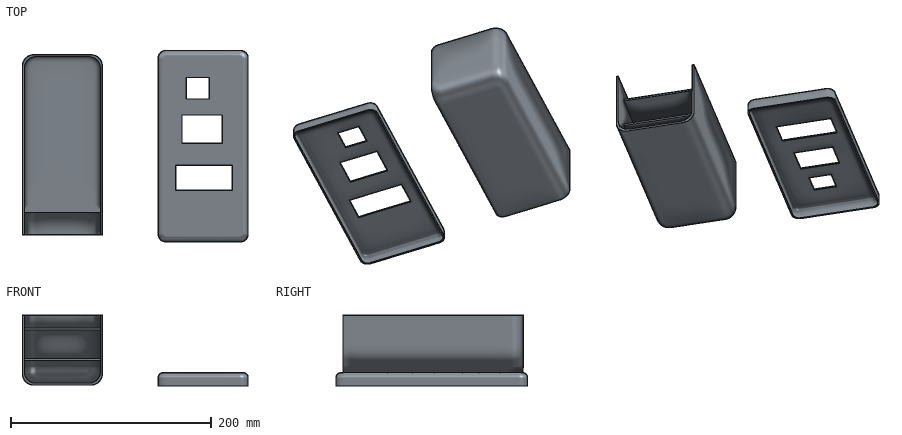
import cadquery as cq

overall_width = 225.5

bin_width = 80.0
bin_length = 180.0
bin_height = 70.0
bin_wall = 2.0
bin_side_radius = 11.7
bin_back_radius = 18.0

shelf_setback = 22.5
shelf_drops = (12.9, 43.3)
shelf_thickness = bin_wall

cover_width = 90.0
cover_length = 191.2
cover_height = 13.5
cover_wall = 1.5
cover_corner_radius = 8.0
cover_top_radius = 5.2
cover_left = overall_width - cover_width
cover_overhang = 7.0
cover_drop = 1.0

windows = (
    (28.2, 142.7, 22.8, 21.2),
    (24.0, 98.5, 40.0, 28.0),
    (17.8, 51.6, 56.2, 24.8),
)


def block(width, length, height):
    """Box with its left front bottom corner at the origin."""
    return cq.Workplane("XY").box(width, length, height, centered=False)


def bin_form(inset):
    """Solid bin shape, pulled in by inset at the sides, back and floor."""
    form = block(bin_width - 2 * inset, bin_length - inset, bin_height - inset)
    form = form.edges("|X and >Y and <Z").fillet(bin_back_radius - inset)
    form = form.faces("<Z").edges("<X or >X").fillet(bin_side_radius)
    return form.translate((inset, 0, inset))


def shelf(drop):
    """Flat shelf that fills the bin's plan behind the setback."""
    slab = block(bin_width, bin_length - shelf_setback, shelf_thickness)
    slab = slab.translate((0, shelf_setback, bin_height - drop - shelf_thickness))
    return slab.intersect(bin_form(0))


def make_bin():
    """Hollow bin with its shelves joined to the walls."""
    body = bin_form(0).cut(bin_form(bin_wall))
    for drop in shelf_drops:
        body = body.union(shelf(drop))
    return body


def cover_form(inset):
    """Solid cover shape, pulled in by inset at the sides and top."""
    form = block(cover_width - 2 * inset, cover_length - 2 * inset, cover_height - inset)
    form = form.edges("|Z").fillet(cover_corner_radius - inset)
    form = form.faces(">Z").edges().fillet(cover_top_radius - inset)
    return form.translate((inset, inset, 0))


def make_cover():
    """Hollow cover with its windows, set beside the bin."""
    body = cover_form(0).cut(cover_form(cover_wall))
    for left, front, width, length in windows:
        body = body.cut(block(width, length, cover_height).translate((left, front, 0)))
    return body.translate((cover_left, -cover_overhang, -cover_drop))


storage_bin = make_bin()
cover = make_cover()

result = cq.Compound.makeCompound([storage_bin.val(), cover.val()])